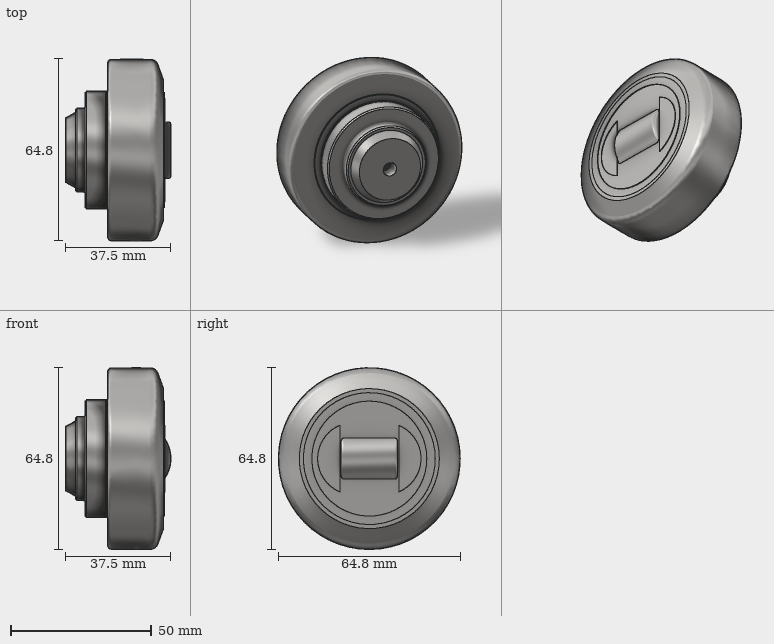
import cadquery as cq
import math


outer_diameter = 64.8
ring_radius = outer_diameter / 2
crown_rise = 0.05
ring_start = 14.9
ring_end = 34.85
ring_bore_radius = 47.0 / 2
ring_face_radius = 24.95
flank_angle = 20.0
ring_start_fillet = 1.5
ring_end_fillet = 3.05

nose_tip_radius = 11.5
nose_base_radius = 13.5
flange_start = 3.55
flange_radius = 30.0 / 2
flange_chamfer = 0.5
flange_root_fillet = 0.5
collar_start = 6.95
collar_radius = 42.0 / 2
collar_chamfer = 0.5
collar_rear_chamfer = 0.4
shoulder_start = 14.5
shoulder_radius = 42.1 / 2
hub_chamfer = 0.25
grease_hole_diameter = 4.9
grease_hole_depth = 6.5

disc_radius = 20.5
disc_height = 0.25
pad_height = 0.2
pad_half_length = 18.4
pad_end_radius = 12.8
roller_gap_half_width = 10.5
overall_length = 37.5
roller_radius = 12.3
roller_width = 20.2
roller_fillet = 1.0

disc_end = ring_end + disc_height
pad_end = disc_end + pad_height


def revolve_about_x(profile):
    """Revolve a closed XY profile, with Y as the radius, around the X axis."""
    return profile.close().revolve(360, (0, 0, 0), (1, 0, 0))


def make_ring():
    """Outer ring with a crowned tread, a conical flank and rounded edges."""
    edge_radius = ring_radius - crown_rise
    flank_width = (edge_radius - ring_face_radius) * math.tan(math.radians(flank_angle))
    flank_start = ring_end - flank_width
    tread_middle = (ring_start + flank_start) / 2
    ring = revolve_about_x(
        cq.Workplane("XY")
        .moveTo(ring_start, ring_bore_radius)
        .lineTo(ring_start, edge_radius)
        .threePointArc((tread_middle, ring_radius), (flank_start, edge_radius))
        .lineTo(ring_end, ring_face_radius)
        .lineTo(ring_end, ring_bore_radius)
    )

    def edge_at(x):
        """Select the outermost circular edge at one X position."""
        margin = 0.05
        box = cq.selectors.BoxSelector(
            (x - margin, -outer_diameter, -outer_diameter),
            (x + margin, outer_diameter, outer_diameter),
            boundingbox=True,
        )
        return ring.edges(box).edges(cq.selectors.RadiusNthSelector(-1))

    ring = edge_at(ring_start).fillet(ring_start_fillet)
    return edge_at(flank_start).fillet(ring_end_fillet)


def make_stud_core():
    """Turned stud from the nose to the raised disc, with its grease hole."""
    root_start = collar_start - flange_root_fillet
    root_radius = flange_radius + flange_root_fillet
    arc_offset = flange_root_fillet * (1 - math.sqrt(0.5))
    core = revolve_about_x(
        cq.Workplane("XY")
        .moveTo(0, 0)
        .lineTo(0, nose_tip_radius)
        .lineTo(flange_start, nose_base_radius)
        .lineTo(flange_start, flange_radius - flange_chamfer)
        .lineTo(flange_start + flange_chamfer, flange_radius)
        .lineTo(root_start, flange_radius)
        .threePointArc(
            (collar_start - arc_offset, flange_radius + arc_offset),
            (collar_start, root_radius),
        )
        .lineTo(collar_start, collar_radius - collar_chamfer)
        .lineTo(collar_start + collar_chamfer, collar_radius)
        .lineTo(shoulder_start - collar_rear_chamfer, collar_radius)
        .lineTo(shoulder_start, collar_radius - collar_rear_chamfer)
        .lineTo(shoulder_start, shoulder_radius)
        .lineTo(ring_start, shoulder_radius)
        .lineTo(ring_start, ring_bore_radius - hub_chamfer)
        .lineTo(ring_start + hub_chamfer, ring_bore_radius)
        .lineTo(ring_end, ring_bore_radius)
        .lineTo(ring_end, disc_radius)
        .lineTo(disc_end, disc_radius)
        .lineTo(disc_end, 0)
    )
    grease_hole = cq.Workplane("YZ").circle(grease_hole_diameter / 2).extrude(grease_hole_depth)
    return core.cut(grease_hole)


def make_pads():
    """Two raised pads: a round-ended plate interrupted by the roller gap."""
    plate = (
        cq.Workplane("YZ", origin=(disc_end, 0, 0))
        .slot2D(2 * pad_half_length, 2 * pad_end_radius)
        .extrude(pad_height)
    )
    gap = (
        cq.Workplane("YZ", origin=(disc_end, 0, 0))
        .rect(2 * roller_gap_half_width, 2 * pad_end_radius)
        .extrude(pad_height)
    )
    return plate.cut(gap)


def make_axial_roller():
    """Roller lying along Y, of which only a segment stands out of the end face."""
    roller = (
        cq.Workplane("XZ", origin=(overall_length - roller_radius, 0, 0))
        .circle(roller_radius)
        .extrude(roller_width / 2, both=True)
    )
    return roller.edges().fillet(roller_fillet)


def make_stud():
    """Stud carrying the pads and the axial roller as one solid."""
    outer_half = (
        cq.Workplane("YZ", origin=(disc_end, 0, 0))
        .rect(outer_diameter, outer_diameter)
        .extrude(overall_length - disc_end)
    )
    roller_segment = make_axial_roller().intersect(outer_half)
    return make_stud_core().union(make_pads()).union(roller_segment)


ring = make_ring()
stud = make_stud()
result = cq.Compound.makeCompound([ring.val(), stud.val()])